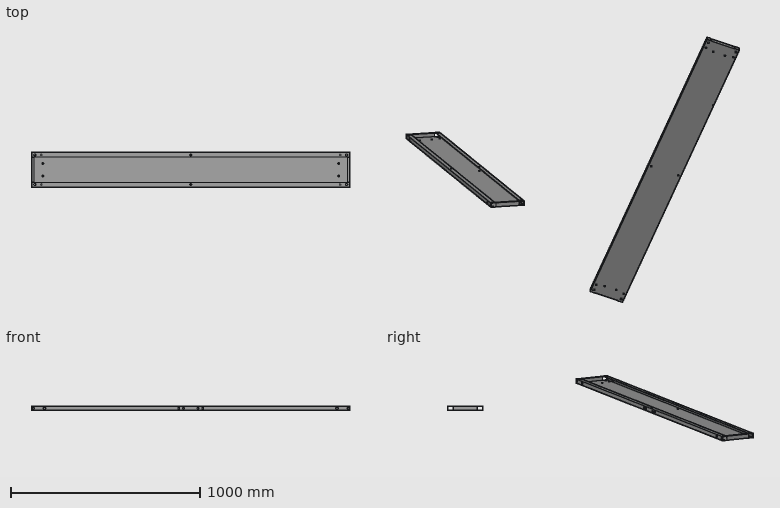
import cadquery as cq

SIDE_LENGTH = 1683.0
OVERALL_LENGTH = 1683.02
WIDTH = 186.0
HEIGHT = 25.0
SHEET = 2.5
EDGE_RADIUS = 2.5
SIDE_LIP = 25.0
END_LIP = 12.0
END_WALL_WIDTH = 128.0

FLOOR_HOLE_DIAMETER = 8.0
FLOOR_HOLE_X = 781.8
FLOOR_HOLE_Y = 33.0

LIP_ROW_Y = 78.0
FIXING_HOLE_DIAMETER = 8.0
FIXING_HOLE_X = 790.0
MIDDLE_HOLE_DIAMETER = 8.0
CORNER_HOLE_DIAMETER = 10.0
CORNER_HOLE_X = 824.0

WALL_HOLE_DIAMETER = 12.0
WALL_HOLE_X = 773.0
WALL_END_HOLE_DIAMETER = 8.0
WALL_END_HOLE_X = 832.0
MIDDLE_WALL_HOLE_DIAMETER = 9.0
MIDDLE_WALL_HOLE_XS = (38.0, 63.0)


def both_signs(distance):
    """The two positions at equal distance on either side of the centre."""
    return [-distance, distance]


def block(length, width, height, center_z):
    """Box centred in X and Y, with its middle at height center_z."""
    return cq.Workplane("XY").box(length, width, height).translate((0, 0, center_z))


def side_channel():
    """Floor, long side walls and their lips, with the floor cut back to make room for the end walls."""
    outside = block(SIDE_LENGTH, WIDTH, HEIGHT, HEIGHT / 2).edges("|X").fillet(EDGE_RADIUS)
    inside = block(SIDE_LENGTH, WIDTH - 2 * SHEET, HEIGHT - 2 * SHEET, HEIGHT / 2)
    opening = block(SIDE_LENGTH, WIDTH - 2 * SIDE_LIP, HEIGHT, HEIGHT)
    end_strips = block(SIDE_LENGTH, END_WALL_WIDTH, SHEET, SHEET / 2).cut(
        block(SIDE_LENGTH - 2 * END_LIP, END_WALL_WIDTH, SHEET, SHEET / 2)
    )
    return outside.cut(inside).cut(opening).cut(end_strips)


def end_channel():
    """Short end walls with their lips, rounded along the outer edges and joined by the floor between them."""
    outside = block(OVERALL_LENGTH, END_WALL_WIDTH, HEIGHT, HEIGHT / 2).edges("|Y").fillet(EDGE_RADIUS)
    inside = block(OVERALL_LENGTH - 2 * SHEET, END_WALL_WIDTH, HEIGHT - 2 * SHEET, HEIGHT / 2)
    opening = block(OVERALL_LENGTH - 2 * END_LIP, END_WALL_WIDTH, HEIGHT, HEIGHT)
    return outside.cut(inside).cut(opening)


def upright_holes(xs, ys, diameter, depth):
    """Cutters standing on the underside of the floor, one at each x and y."""
    points = [(x, y) for x in xs for y in ys]
    return cq.Workplane("XY").pushPoints(points).circle(diameter / 2).extrude(depth)


def cross_holes(xs, diameter, depth):
    """Cutters entering the -Y side wall at mid height."""
    points = [(x, HEIGHT / 2) for x in xs]
    wall_plane = cq.Workplane("XZ", origin=(0, -WIDTH / 2, 0))
    return wall_plane.pushPoints(points).circle(diameter / 2).extrude(-depth)


def floor_and_lip_holes():
    """All holes with a vertical axis."""
    row_ys = both_signs(LIP_ROW_Y)
    floor_ys = both_signs(FLOOR_HOLE_Y)
    return [
        upright_holes(both_signs(FLOOR_HOLE_X), floor_ys, FLOOR_HOLE_DIAMETER, SHEET),
        upright_holes(both_signs(FIXING_HOLE_X), row_ys, FIXING_HOLE_DIAMETER, SHEET),
        upright_holes([0], row_ys, MIDDLE_HOLE_DIAMETER, HEIGHT),
        upright_holes(both_signs(CORNER_HOLE_X), row_ys, CORNER_HOLE_DIAMETER, HEIGHT),
    ]


def wall_holes():
    """All holes in the side walls: those near the ends cross both walls, the middle ones only the -Y wall."""
    middle_xs = [x for distance in MIDDLE_WALL_HOLE_XS for x in both_signs(distance)]
    return [
        cross_holes(both_signs(WALL_HOLE_X), WALL_HOLE_DIAMETER, WIDTH),
        cross_holes(both_signs(WALL_END_HOLE_X), WALL_END_HOLE_DIAMETER, WIDTH),
        cross_holes(middle_xs, MIDDLE_WALL_HOLE_DIAMETER, SHEET),
    ]


result = side_channel().union(end_channel())
for cutter in floor_and_lip_holes() + wall_holes():
    result = result.cut(cutter)